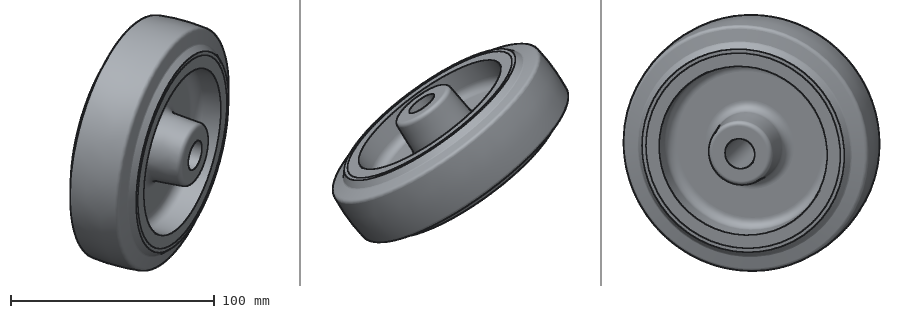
import cadquery as cq

crown_radius = 62.5
tread_edge_radius = 61.6
tread_half_width = 13.2
shoulder_fillet = 2.0
side_foot_radius = 53.8
side_foot_half_width = 14.8
side_foot_fillet = 1.0
bead_outer_radius = 51.0
bead_half_width = 18.0

rim_outer_radius = 49.0
rim_lip_radius = 42.4
rim_root_radius = 41.5
web_half_thickness = 3.8
web_fillet = 5.0
hub_half_length = 25.0
hub_end_radius = 16.0
hub_root_radius = 17.6
hub_end_fillet = 2.2
bore_radius = 7.5

selection_margin = 0.06


def revolve_about_x(profile):
    """Turn a closed (axial, radial) profile about the X axis."""
    return profile.close().revolve(360, (0, 0, 0), (1, 0, 0))


def fillet_rings(body, half_width, ring_radius, fillet_radius):
    """Round the two mirrored circular edges at +/- half_width with the given ring radius."""

    def is_ring(edge):
        if edge.geomType() != "CIRCLE":
            return False
        axial_error = abs(abs(edge.Center().x) - half_width)
        radial_error = abs(edge.radius() - ring_radius)
        return max(axial_error, radial_error) < selection_margin

    edges = [edge for edge in body.edges().vals() if is_ring(edge)]
    return body.newObject(edges).fillet(fillet_radius)


def make_tyre():
    """Crowned tyre with sloping sides and a bevelled bead flush with the rim."""
    profile = (
        cq.Workplane("XY")
        .moveTo(-bead_half_width, rim_outer_radius)
        .lineTo(-bead_half_width, bead_outer_radius)
        .lineTo(-side_foot_half_width, side_foot_radius)
        .lineTo(-tread_half_width, tread_edge_radius)
        .threePointArc((0, crown_radius), (tread_half_width, tread_edge_radius))
        .lineTo(side_foot_half_width, side_foot_radius)
        .lineTo(bead_half_width, bead_outer_radius)
        .lineTo(bead_half_width, rim_outer_radius)
    )
    tyre = revolve_about_x(profile)
    tyre = fillet_rings(tyre, tread_half_width, tread_edge_radius, shoulder_fillet)
    return fillet_rings(tyre, side_foot_half_width, side_foot_radius, side_foot_fillet)


def make_wheel_centre():
    """Rim, web and bored hub, with tapered walls on both sides of the web."""
    right_side = [
        (bead_half_width, rim_outer_radius),
        (bead_half_width, rim_lip_radius),
        (web_half_thickness, rim_root_radius),
        (web_half_thickness, hub_root_radius),
        (hub_half_length, hub_end_radius),
        (hub_half_length, bore_radius),
    ]
    left_side = [(-axial, radial) for axial, radial in reversed(right_side)]
    centre = revolve_about_x(cq.Workplane("XY").polyline(right_side + left_side))
    centre = fillet_rings(centre, web_half_thickness, rim_root_radius, web_fillet)
    centre = fillet_rings(centre, web_half_thickness, hub_root_radius, web_fillet)
    return fillet_rings(centre, hub_half_length, hub_end_radius, hub_end_fillet)


tyre = make_tyre()
wheel_centre = make_wheel_centre()

result = cq.Compound.makeCompound([tyre.val(), wheel_centre.val()])